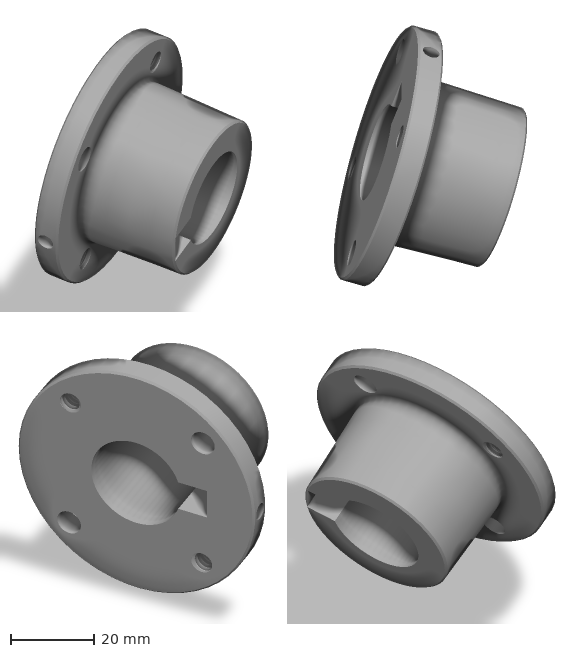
import cadquery as cq
import math

length = 31.75
flange_diameter = 63.5
flange_thickness = 6.35
edge_chamfer = 0.5

hub_root_radius = 20.66
hub_taper = 1 / 32
hub_tip_x = length - edge_chamfer
hub_tip_radius = hub_root_radius - hub_taper * (hub_tip_x - flange_thickness)
root_fillet = 1.0

bore_diameter = 24.0
keyway_width = 7.94
keyway_floor = 19.05

bolt_circle_diameter = 50.8
clearance_diameter = 6.35
clearance_angles = (135, 315)
threaded_angles = (45, 225)

thread_major_diameter = 6.35
thread_pitch = 1.27
thread_flank_angle = math.radians(30)
thread_sharp_height = thread_pitch / (2 * math.tan(thread_flank_angle))
thread_depth = 5 / 8 * thread_sharp_height
thread_minor_radius = thread_major_diameter / 2 - thread_depth
thread_root_flat = thread_pitch / 8
thread_overlap = 0.1
thread_start_angle = 210

rim_hole_diameter = 4.2
rim_hole_depth = 6.35


def make_body():
    """Flange with chamfered rim and tapered hub, revolved about X."""
    flange_radius = flange_diameter / 2
    profile = [
        (0, 0),
        (0, flange_radius - edge_chamfer),
        (edge_chamfer, flange_radius),
        (flange_thickness - edge_chamfer, flange_radius),
        (flange_thickness, flange_radius - edge_chamfer),
        (flange_thickness, hub_root_radius),
        (hub_tip_x, hub_tip_radius),
        (length, hub_tip_radius - edge_chamfer),
        (length, 0),
    ]
    body = cq.Workplane("XY").polyline(profile).close().revolve(360, (0, 0, 0), (1, 0, 0))
    return body.edges("%CIRCLE").edges(cq.selectors.RadiusNthSelector(2)).fillet(root_fillet)


def make_bore():
    """Round bore with a square-cornered keyway on its -Y side."""
    bore = cq.Workplane("YZ").circle(bore_diameter / 2).extrude(length)
    keyway = (
        cq.Workplane("YZ")
        .center(-keyway_floor / 2, 0)
        .rect(keyway_floor, keyway_width)
        .extrude(length)
    )
    return bore.union(keyway)


def place_on_bolt_circle(tool, angle):
    """Move a tool from the part axis onto the bolt circle, at an angle from +Y towards +Z."""
    return tool.translate((0, bolt_circle_diameter / 2, 0)).rotate((0, 0, 0), (1, 0, 0), angle)


def make_clearance_hole():
    """Plain through hole for a cap screw."""
    return cq.Workplane("YZ").circle(clearance_diameter / 2).extrude(flange_thickness)


def make_thread_core():
    """Round hole at the minor diameter of the thread."""
    return cq.Workplane("YZ").circle(thread_minor_radius).extrude(flange_thickness)


def make_thread_groove():
    """Right-hand helical groove that runs past both faces of the flange."""
    inner_radius = thread_minor_radius - thread_overlap
    outer_radius = thread_major_diameter / 2
    half_root = thread_root_flat / 2
    half_mouth = half_root + (outer_radius - inner_radius) * math.tan(thread_flank_angle)
    helix_length = flange_thickness + 2 * thread_pitch
    helix = cq.Wire.makeHelix(thread_pitch, helix_length, inner_radius)
    section = [
        (inner_radius, -half_mouth),
        (outer_radius, -half_root),
        (outer_radius, half_root),
        (inner_radius, half_mouth),
    ]
    return (
        cq.Workplane("XZ")
        .polyline(section)
        .close()
        .sweep(cq.Workplane(helix), isFrenet=True)
        .translate((0, 0, -thread_pitch))
        .rotate((0, 0, 0), (0, 0, 1), thread_start_angle)
        .rotate((0, 0, 0), (0, 1, 0), 90)
    )


def make_rim_hole():
    """Flat-bottomed hole halfway through the flange thickness, pointing to the axis."""
    floor_y = rim_hole_depth - flange_diameter / 2
    return (
        cq.Workplane("XZ", origin=(flange_thickness / 2, floor_y, 0))
        .circle(rim_hole_diameter / 2)
        .extrude(rim_hole_depth)
    )


result = make_body().cut(make_bore()).cut(make_rim_hole())
for angle in clearance_angles:
    result = result.cut(place_on_bolt_circle(make_clearance_hole(), angle))
for angle in threaded_angles:
    result = result.cut(place_on_bolt_circle(make_thread_groove(), angle))
    result = result.cut(place_on_bolt_circle(make_thread_core(), angle))